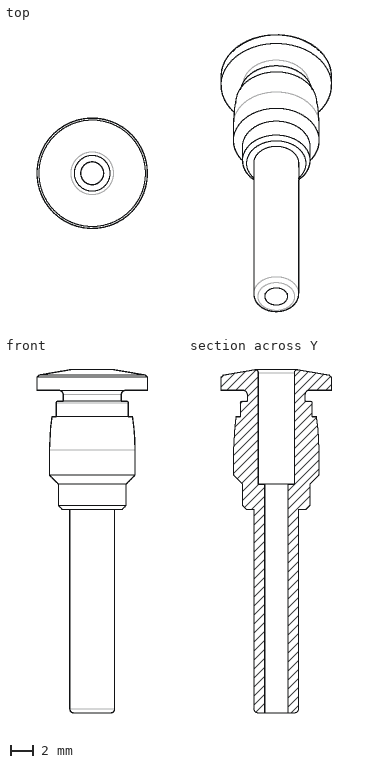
import cadquery as cq

total_length = 30.4
stem_length = 18.0
lower_collar_top = 20.25
body_straight_top = 23.25
body_top = 26.25
upper_collar_top = 27.6
flange_bottom = 28.55
flange_rim_top = 29.9

stem_diameter = 3.98
lower_collar_diameter = 6.0
body_diameter = 7.6
body_top_diameter = 7.15
upper_collar_diameter = 6.38
neck_diameter = 5.17
flange_diameter = 9.8
through_hole_diameter = 2.0
socket_diameter = 3.15

stem_tip_fillet = 0.35
lower_collar_chamfer = 0.35
upper_collar_fillet = 0.15
neck_flare = 0.35
rim_chamfer = 0.18
socket_mouth_fillet = 0.3

stem_radius = stem_diameter / 2
lower_collar_radius = lower_collar_diameter / 2
body_radius = body_diameter / 2
body_top_radius = body_top_diameter / 2
upper_collar_radius = upper_collar_diameter / 2
neck_radius = neck_diameter / 2
flange_radius = flange_diameter / 2
through_hole_radius = through_hole_diameter / 2
socket_radius = socket_diameter / 2
mouth_radius = socket_radius + socket_mouth_fillet
rim_inner_radius = flange_radius - rim_chamfer

body_straight_bottom = lower_collar_top + body_radius - lower_collar_radius

socket_floor = lower_collar_top

quarter = 0.5 ** 0.5


def add_quarter_round(outline, center, radius, radial_sign, axial_sign, end):
    """Add a quarter arc whose midpoint lies diagonally from its center."""
    middle = (
        center[0] + radial_sign * radius * quarter,
        center[1] + axial_sign * radius * quarter,
    )
    return outline.threePointArc(middle, end)


profile = cq.Workplane("XZ").moveTo(through_hole_radius, 0)
profile = profile.lineTo(stem_radius - stem_tip_fillet, 0)
profile = add_quarter_round(
    profile, (stem_radius - stem_tip_fillet, stem_tip_fillet), stem_tip_fillet,
    1, -1, (stem_radius, stem_tip_fillet),
)

profile = (
    profile.lineTo(stem_radius, stem_length)
    .lineTo(lower_collar_radius - lower_collar_chamfer, stem_length)
    .lineTo(lower_collar_radius, stem_length + lower_collar_chamfer)
    .lineTo(lower_collar_radius, lower_collar_top)
    .lineTo(body_radius, body_straight_bottom)
    .lineTo(body_radius, body_straight_top)
)

body_bulge = (body_radius - body_top_radius) / 4
bow_middle = (
    (body_radius + body_top_radius) / 2 + body_bulge,
    (body_straight_top + body_top) / 2,
)
profile = profile.threePointArc(bow_middle, (body_top_radius, body_top))

profile = (
    profile.lineTo(upper_collar_radius, body_top)
    .lineTo(upper_collar_radius, upper_collar_top - upper_collar_fillet)
)
profile = add_quarter_round(
    profile,
    (upper_collar_radius - upper_collar_fillet, upper_collar_top - upper_collar_fillet),
    upper_collar_fillet, 1, 1,
    (upper_collar_radius - upper_collar_fillet, upper_collar_top),
)

profile = (
    profile.lineTo(neck_radius, upper_collar_top)
    .lineTo(neck_radius, flange_bottom - neck_flare)
)
profile = add_quarter_round(
    profile, (neck_radius + neck_flare, flange_bottom - neck_flare), neck_flare,
    -1, 1, (neck_radius + neck_flare, flange_bottom),
)

profile = (
    profile.lineTo(flange_radius, flange_bottom)
    .lineTo(flange_radius, flange_rim_top - rim_chamfer)
)
profile = profile.lineTo(rim_inner_radius, flange_rim_top)
profile = profile.lineTo(mouth_radius, total_length)

profile = add_quarter_round(
    profile, (mouth_radius, total_length - socket_mouth_fillet), socket_mouth_fillet,
    -1, 1, (socket_radius, total_length - socket_mouth_fillet),
)
profile = (
    profile.lineTo(socket_radius, socket_floor)
    .lineTo(through_hole_radius, socket_floor)
    .close()
)

result = profile.revolve(360, (0, 0, 0), (0, 1, 0)).translate((0, 0, -total_length / 2))